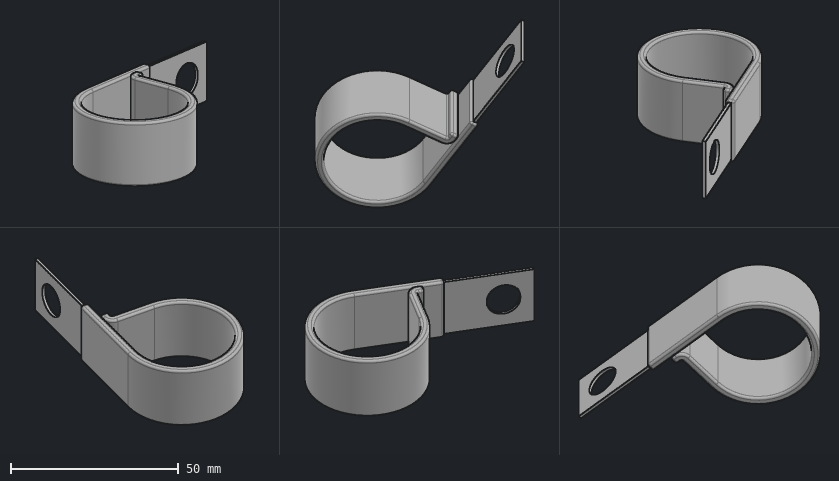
import cadquery as cq
import math

overall_length = 74.2
overall_width = 20.55
loop_diameter = 37.3
cushion_thickness = 0.8
band_thickness = 1.1
wrap_thickness = band_thickness + 2 * cushion_thickness
band_width = overall_width - 2 * cushion_thickness
edge_radius = cushion_thickness

outer_radius = loop_diameter / 2
inner_radius = outer_radius - wrap_thickness
leg_end = 27.75
tab_end = overall_length - outer_radius

lip_bend_inner = 0.45
lip_bend_outer = lip_bend_inner + wrap_thickness
lip_straight = 1.8

hole_diameter = 10.4
hole_center = tab_end - band_width / 2


def point_on_circle(center_x, center_y, radius, degrees):
    angle = math.radians(degrees)
    return (center_x + radius * math.cos(angle), center_y + radius * math.sin(angle))


def cushioned_leg():
    """Straight leg, rounded on its long edges and free end, flat where it joins the loop."""
    return (
        cq.Workplane("XY")
        .box(wrap_thickness, leg_end, overall_width, centered=(False, False, True))
        .translate((-outer_radius, 0, 0))
        .edges("|Y or >Y")
        .fillet(edge_radius)
    )


def cushioned_loop():
    """Three-quarter loop, tangent run back to the leg and turned-up lip."""
    lip_left = -inner_radius
    lip_right = lip_left + wrap_thickness
    bend_x = lip_left + lip_bend_outer
    bend_y = outer_radius + lip_bend_inner
    lip_end = bend_y + lip_straight
    bend_middle = 225
    loop_middle = -45
    joint_margin = 0.75
    profile = (
        cq.Workplane("XY")
        .workplane(offset=-overall_width / 2)
        .moveTo(-outer_radius, 0)
        .threePointArc(point_on_circle(0, 0, outer_radius, loop_middle), (0, outer_radius))
        .lineTo(bend_x, outer_radius)
        .threePointArc(
            point_on_circle(bend_x, bend_y, lip_bend_inner, bend_middle), (lip_right, bend_y)
        )
        .lineTo(lip_right, lip_end)
        .lineTo(lip_left, lip_end)
        .lineTo(lip_left, bend_y)
        .threePointArc(
            point_on_circle(bend_x, bend_y, lip_bend_outer, bend_middle), (bend_x, inner_radius)
        )
        .lineTo(0, inner_radius)
        .threePointArc(point_on_circle(0, 0, inner_radius, loop_middle), (-inner_radius, 0))
        .close()
    )
    loop = profile.extrude(overall_width)
    joint_edges = cq.selectors.BoxSelector(
        (-outer_radius - joint_margin, -joint_margin, -overall_width),
        (-inner_radius + joint_margin, joint_margin, overall_width),
    )
    rounded_edges = cq.selectors.SubtractSelector(cq.Selector(), joint_edges)
    return loop.faces("<Z or >Z or >Y").edges(rounded_edges).fillet(edge_radius)


def mounting_tab():
    """Bare metal tab, embedded in the leg, with the mounting hole through it."""
    tab_start = leg_end - wrap_thickness
    tab = (
        cq.Workplane("XY")
        .box(band_thickness, tab_end - tab_start, band_width, centered=(False, False, True))
        .translate((-outer_radius + cushion_thickness, tab_start, 0))
    )
    hole = (
        cq.Workplane("YZ")
        .center(hole_center, 0)
        .circle(hole_diameter / 2)
        .extrude(2 * outer_radius, both=True)
    )
    return tab.cut(hole)


result = cushioned_leg().union(cushioned_loop()).union(mounting_tab())